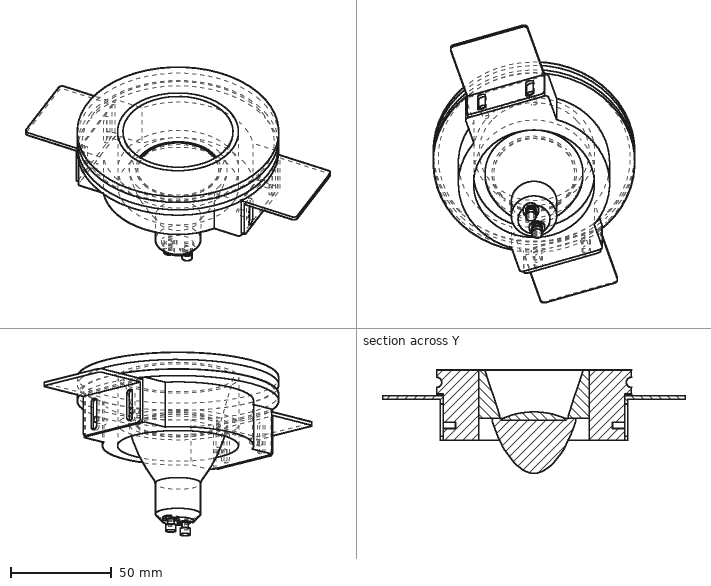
import cadquery as cq
import math


overall_length = 150.0
disc_radius = overall_length / 3
disc_thickness = 12.0
groove_centre_depth = 6.2
groove_radius = 2.4
boss_radius = 37.5
housing_depth = 35.0
ear_reach = 45.0
ear_width = 43.0
ear_corner_radius = 1.5
bore_radius = 30.0

screw_spacing = 25.0
screw_hole_diameter = 3.0
screw_hole_depth = 6.0
screw_axis_depth = 27.5
slot_width = 3.9
slot_length = 15.9
slot_centre_depth = 24.9

bracket_width = 40.0
bracket_wall = 1.5
bracket_flange = 1.8
bracket_top_depth = 12.8
bracket_corner_radius = 2.0

trim_depth = 24.0
trim_lip_height = 1.4
trim_opening_radius = 27.3
trim_lip_radius = 21.0

lamp_rim_radius = 24.3
lamp_rim_height = 1.5
reflector_mid_radius = 19.8
reflector_mid_depth = 38.7
neck_radius = 11.8
neck_depth = 52.4
base_radius = 11.2
base_top_depth = 54.2
base_chamfer = 3.3
base_chamfer_depth = 69.9
base_bottom_depth = 73.5
lens_radius = 20.1
lens_height = 5.4
lens_edge = 0.9

lamp_tip_depth = 79.5
pin_spacing = 10.0
pin_stem_radius = 1.6
pin_flange_radius = 2.5
pin_head_height = 3.0
pin_recess_radius = 3.9
pin_recess_depth = 1.0

BOTH_ENDS = (-1, 1)


def upright_cylinder(radius, top_depth, bottom_depth, x=0.0):
    """Vertical cylinder between two depths."""
    return (
        cq.Workplane("XY", origin=(x, 0, -bottom_depth))
        .circle(radius)
        .extrude(bottom_depth - top_depth)
    )


def revolved(profile):
    """Turn a (radius, height) outline about the lamp axis."""
    return profile.close().revolve(360, (0, 0, 0), (0, 1, 0))


def make_housing():
    disc = revolved(
        cq.Workplane("XZ")
        .lineTo(disc_radius, 0)
        .lineTo(disc_radius, groove_radius - groove_centre_depth)
        .threePointArc(
            (disc_radius - groove_radius, -groove_centre_depth),
            (disc_radius, -groove_radius - groove_centre_depth),
        )
        .lineTo(disc_radius, -disc_thickness)
        .lineTo(0, -disc_thickness)
    )
    boss = upright_cylinder(boss_radius, disc_thickness, housing_depth)
    ears = (
        cq.Workplane("XY", origin=(0, 0, -housing_depth))
        .rect(2 * ear_reach, ear_width)
        .extrude(housing_depth - disc_thickness)
        .edges("|Z")
        .fillet(ear_corner_radius)
    )
    bore = upright_cylinder(bore_radius, 0, housing_depth)
    housing = disc.union(boss).union(ears).cut(bore)
    for end in BOTH_ENDS:
        screw_holes = (
            cq.Workplane("YZ", origin=(end * ear_reach, 0, -screw_axis_depth))
            .pushPoints([(side * screw_spacing / 2, 0) for side in BOTH_ENDS])
            .circle(screw_hole_diameter / 2)
            .extrude(-end * screw_hole_depth)
        )
        housing = housing.cut(screw_holes)
    return housing


def make_bracket(end):
    """Bracket at the -X end (end = -1) or the +X end (end = 1)."""
    wall_outer = ear_reach + bracket_wall
    flange_bottom = bracket_top_depth + bracket_flange
    bracket = (
        cq.Workplane("XZ", origin=(0, bracket_width / 2, 0))
        .moveTo(end * ear_reach, -bracket_top_depth)
        .lineTo(end * overall_length / 2, -bracket_top_depth)
        .lineTo(end * overall_length / 2, -flange_bottom)
        .lineTo(end * wall_outer, -flange_bottom)
        .lineTo(end * wall_outer, -housing_depth)
        .lineTo(end * ear_reach, -housing_depth)
        .close()
        .extrude(bracket_width)
    )
    tip_side = ">X" if end > 0 else "<X"
    bracket = bracket.faces(tip_side).edges("|Z").fillet(bracket_corner_radius)
    bracket = bracket.faces("<Z").edges("|X").fillet(bracket_corner_radius)
    slots = (
        cq.Workplane("YZ", origin=(end * ear_reach, 0, -slot_centre_depth))
        .pushPoints([(side * screw_spacing / 2, 0) for side in BOTH_ENDS])
        .slot2D(slot_length, slot_width, 90)
        .extrude(end * bracket_wall)
    )
    return bracket.cut(slots)


def make_trim():
    return revolved(
        cq.Workplane("XZ")
        .moveTo(trim_opening_radius, 0)
        .lineTo(bore_radius, 0)
        .lineTo(bore_radius, -trim_depth)
        .lineTo(trim_lip_radius, -trim_depth)
        .lineTo(trim_lip_radius, trim_lip_height - trim_depth)
    )


def make_lens():
    sphere_radius = (lens_radius**2 + lens_height**2) / (2 * lens_height)
    half_angle = math.asin(lens_radius / sphere_radius) / 2
    cap_drop = sphere_radius * (1 - math.cos(half_angle))
    return revolved(
        cq.Workplane("XZ")
        .moveTo(0, lens_height - trim_depth)
        .threePointArc(
            (sphere_radius * math.sin(half_angle), lens_height - cap_drop - trim_depth),
            (lens_radius, -trim_depth),
        )
        .lineTo(lens_radius, -trim_depth - lens_edge)
        .lineTo(0, -trim_depth - lens_edge)
    )


def make_lamp():
    lamp = revolved(
        cq.Workplane("XZ")
        .moveTo(0, -trim_depth)
        .lineTo(lamp_rim_radius, -trim_depth)
        .lineTo(lamp_rim_radius, -trim_depth - lamp_rim_height)
        .threePointArc((reflector_mid_radius, -reflector_mid_depth), (neck_radius, -neck_depth))
        .lineTo(base_radius, -base_top_depth)
        .lineTo(base_radius, -base_chamfer_depth)
        .lineTo(base_radius - base_chamfer, -base_bottom_depth)
        .lineTo(0, -base_bottom_depth)
    )
    lamp = lamp.cut(upright_cylinder(lens_radius, trim_depth, trim_depth + lens_edge))
    for side in BOTH_ENDS:
        recess = upright_cylinder(
            pin_recess_radius,
            base_bottom_depth - pin_recess_depth,
            base_bottom_depth,
            side * pin_spacing / 2,
        )
        lamp = lamp.cut(recess)
    return lamp


def make_pin(side):
    """Contact pin on the -X side (side = -1) or the +X side (side = 1)."""
    x = side * pin_spacing / 2
    head_top = lamp_tip_depth - pin_head_height
    recess_ceiling = base_bottom_depth - pin_recess_depth
    stem = upright_cylinder(pin_stem_radius, recess_ceiling, head_top, x)
    head = upright_cylinder(pin_flange_radius, head_top, lamp_tip_depth, x)
    collar = upright_cylinder(pin_flange_radius, recess_ceiling, base_bottom_depth, x)
    return stem.union(collar).union(head)


housing = make_housing()
trim = make_trim()
lamp = make_lamp()
lens = make_lens()
brackets = [make_bracket(end) for end in BOTH_ENDS]
pins = [make_pin(side) for side in BOTH_ENDS]

result = cq.Compound.makeCompound(
    [housing.val(), trim.val(), lamp.val(), lens.val()]
    + [bracket.val() for bracket in brackets]
    + [pin.val() for pin in pins]
)